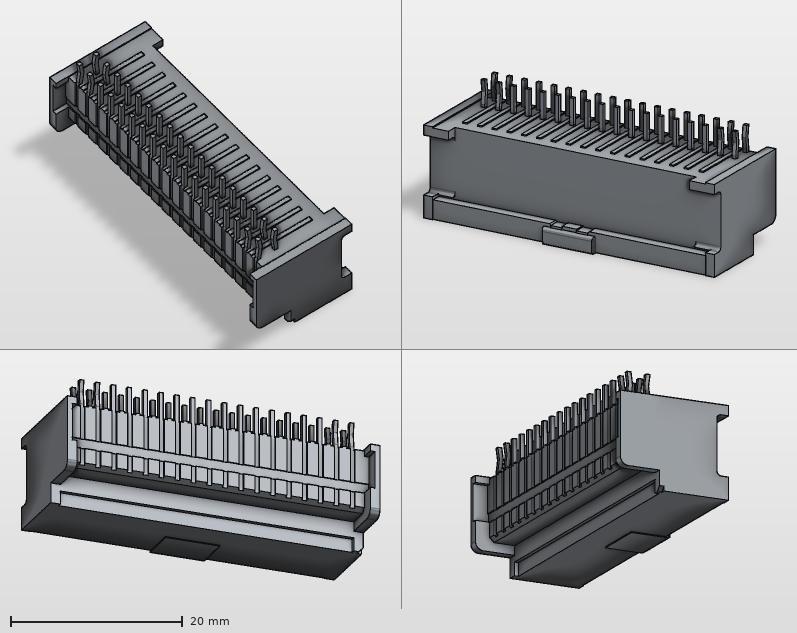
import cadquery as cq
LENGTH = 39.4
HEIGHT = 11.55
END_REAR = 14.05

PLATE = 1.22
STEP_Y = 5.1
STEP_Z = 2.5
CORNER_RADIUS = 1.02
MARK = 0.6

WALL_REAR = 12.55
NOTCH_BOTTOM = 2.85
NOTCH_TOP = 10.3
NOTCH_RADIUS = 0.5
EAR_WIDTH = 3.4
LIP_TOP = 2.45
LIP_SETBACK = 0.1

INNER = LENGTH - 2 * PLATE
RIB_HEIGHT = 0.15
BODY_TOP = HEIGHT - RIB_HEIGHT
FRONT = 1.85
UNDERSIDE = 3.65
ROOT = 0.4
FRONT_CHAMFER = 0.55
RECESS_TOP = 1.65
RECESS_DEPTH = 0.5

PITCH = 2.0
COLUMNS = 18
PIN = 0.5
PIN_TOP = 14.78
FRONT_PIN_Y = 2.32
REAR_PIN_Y = 4.8
KINK = 0.2
KINK_LOW = 11.75
KINK_PEAK = 13.3
KINKED_PER_END = 2

GROOVE_WIDTH = 0.6
GROOVE_FLOOR = FRONT_PIN_Y - PIN / 2
GROOVE_BOTTOM = 3.55
RIB_WIDTH = 0.6
RIB_REAR = 10.87
BAND_BOTTOM = 6.05
BAND_TOP = 7.25
BAND_DEPTH = 0.15
POCKET_TOP = 10.68
POCKET_DEPTH = 0.6

LATCH_WIDTH = 6.85
LATCH_REAR = 14.5
LATCH_TOP = 2.0
LATCH_DROP = 0.1
LATCH_FRONT = 9.45
LATCH_ROUND = 0.47
LATCH_BEVEL_X = 0.1
LATCH_BEVEL_Y = 0.2

CHANNEL_INNER = 1.0
CHANNEL_OUTER = 2.5
CHANNEL_BEVEL = 0.2
CHANNEL_DEPTH = 0.15


def block(x0, x1, y0, y1, z0, z1):
    """Box between two opposite corners."""
    return cq.Workplane("XY").box(x1 - x0, y1 - y0, z1 - z0, centered=False).translate((x0, y0, z0))


def side_profile(points, x0, x1):
    """Extrude a (Y, Z) outline from x0 to x1."""
    return cq.Workplane("YZ").workplane(offset=x0).polyline(points).close().extrude(x1 - x0)


def end_plate(x0):
    outline = [
        (0, HEIGHT), (END_REAR, HEIGHT), (END_REAR, 0), (STEP_Y, 0), (STEP_Y, STEP_Z), (0, STEP_Z),
    ]
    plate = side_profile(outline, x0, x0 + PLATE)
    corner = cq.selectors.NearestToPointSelector((x0 + PLATE / 2, 0, STEP_Z))
    return plate.edges(corner).fillet(CORNER_RADIUS)


def body():
    outline = [
        (FRONT, BODY_TOP),
        (END_REAR, BODY_TOP),
        (END_REAR, 0),
        (STEP_Y, 0),
        (STEP_Y, UNDERSIDE),
        (FRONT + FRONT_CHAMFER, UNDERSIDE),
        (FRONT, UNDERSIDE + FRONT_CHAMFER),
    ]
    core = side_profile(outline, -INNER / 2, INNER / 2)
    return core.cut(block(-INNER / 2, INNER / 2, STEP_Y, STEP_Y + RECESS_DEPTH, 0, RECESS_TOP))


def rear_notch():
    notch = block(-LENGTH / 2, LENGTH / 2, WALL_REAR, LATCH_REAR, NOTCH_BOTTOM, NOTCH_TOP)
    notch = notch.edges("|X and <Y").fillet(NOTCH_RADIUS)
    ear_gap = LENGTH / 2 - EAR_WIDTH
    top_gap = block(-ear_gap, ear_gap, WALL_REAR, LATCH_REAR, NOTCH_BOTTOM, HEIGHT)
    half = INNER / 2
    lip_top = block(-half, half, WALL_REAR, LATCH_REAR, LIP_TOP, NOTCH_BOTTOM)
    lip_rear = block(-half, half, END_REAR - LIP_SETBACK, LATCH_REAR, 0, LIP_TOP)
    return notch.union(top_gap).union(lip_top).union(lip_rear)


def front_band():
    """Sunk band along the body, with the pockets in the plates that it runs into."""
    reach = INNER / 2 + POCKET_DEPTH
    pockets = block(-reach, reach, 0, FRONT, BAND_BOTTOM, POCKET_TOP)
    return pockets.union(block(-reach, reach, 0, FRONT + BAND_DEPTH, BAND_BOTTOM, BAND_TOP))


def front_groove(x):
    """Upright groove ahead of a pin, interrupted by the band."""
    half = GROOVE_WIDTH / 2
    lower = block(x - half, x + half, FRONT, GROOVE_FLOOR, GROOVE_BOTTOM, BAND_BOTTOM)
    upper = block(x - half, x + half, FRONT, GROOVE_FLOOR, BAND_TOP, BODY_TOP)
    return lower.union(upper)


def top_rib(x):
    half = RIB_WIDTH / 2
    return block(x - half, x + half, FRONT, RIB_REAR, BODY_TOP - ROOT, HEIGHT)


def pin(x, y, bow):
    """Square pin whose exposed length bows sideways in Y by the given amount."""
    half = PIN / 2
    base = BODY_TOP - ROOT
    outline = [
        (y - half, base),
        (y - half, KINK_LOW),
        (y - half + bow, KINK_PEAK),
        (y - half, PIN_TOP),
        (y + half, PIN_TOP),
        (y + half + bow, KINK_PEAK),
        (y + half, KINK_LOW),
        (y + half, base),
    ]
    return side_profile(outline, x - half, x + half)


def latch():
    half = LATCH_WIDTH / 2
    bevel_start = LATCH_REAR - LATCH_BEVEL_Y
    slab = block(-half, half, LATCH_FRONT, bevel_start, -LATCH_DROP, 0)
    nose_front = WALL_REAR
    plan = [
        (-half, nose_front),
        (-half, bevel_start),
        (-half + LATCH_BEVEL_X, LATCH_REAR),
        (half - LATCH_BEVEL_X, LATCH_REAR),
        (half, bevel_start),
        (half, nose_front),
    ]
    nose = cq.Workplane("XY").polyline(plan).close().extrude(LATCH_TOP)
    envelope = block(-half, half, nose_front, LATCH_REAR, 0, LATCH_TOP)
    envelope = envelope.edges("|X and >Y and >Z").fillet(LATCH_ROUND)
    return nose.intersect(envelope).union(slab)


def lip_channel(side):
    """Channel in the top of the lower lip with a sloped outer wall."""
    floor = LIP_TOP - CHANNEL_DEPTH
    outline = [
        (side * CHANNEL_INNER, LIP_TOP),
        (side * CHANNEL_INNER, floor),
        (side * CHANNEL_OUTER, floor),
        (side * (CHANNEL_OUTER + CHANNEL_BEVEL), LIP_TOP),
    ]
    depth = END_REAR - WALL_REAR
    return cq.Workplane("XZ").workplane(offset=-END_REAR).polyline(outline).close().extrude(depth)


def lip_pad(side):
    """Pad that brings the rear face below a channel level with the end plates."""
    x0, x1 = sorted((side * CHANNEL_INNER, side * CHANNEL_OUTER))
    return block(x0, x1, WALL_REAR, END_REAR, RECESS_TOP, LIP_TOP - CHANNEL_DEPTH)


def corner_mark():
    edge = LENGTH / 2
    triangle = [(edge, 0), (edge - MARK, 0), (edge, MARK)]
    return cq.Workplane("XZ").workplane(offset=-STEP_Y).polyline(triangle).close().extrude(-MARK)


def centred_row(count):
    return [(i - (count - 1) / 2) * PITCH for i in range(count)]


def gathered(pieces):
    """Put separate pieces on one workplane so they join or cut in a single operation."""
    return cq.Workplane().newObject([solid for piece in pieces for solid in piece.solids().vals()])


part = body().union(end_plate(-LENGTH / 2)).union(end_plate(LENGTH / 2 - PLATE))
part = part.cut(rear_notch()).cut(front_band()).cut(corner_mark())
part = part.union(latch())
for side in (-1, 1):
    part = part.cut(lip_channel(side)).union(lip_pad(side))

columns = centred_row(COLUMNS)
part = part.cut(gathered([front_groove(x) for x in columns]))
part = part.union(gathered([top_rib(x) for x in centred_row(COLUMNS - 1)]))
pins = []
for column, x in enumerate(columns):
    at_end = column < KINKED_PER_END or column >= COLUMNS - KINKED_PER_END
    bow = KINK if at_end else 0
    pins.append(pin(x, FRONT_PIN_Y, bow))
    pins.append(pin(x, REAR_PIN_Y, -bow))
part = part.union(gathered(pins))

result = part